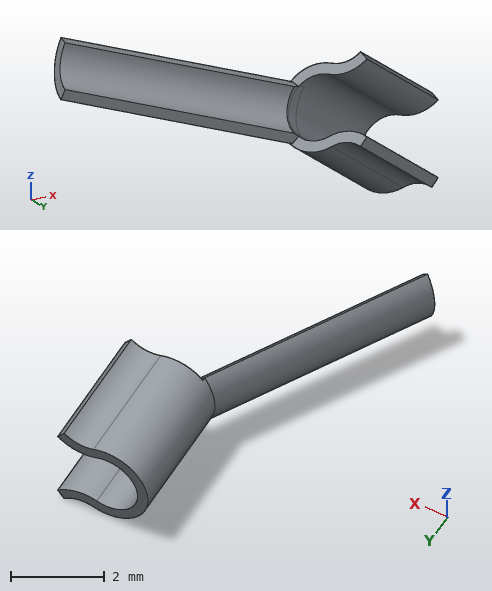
import cadquery as cq
import math

wall = 0.25
ring_outer_radius = 1.0
ring_inner_radius = ring_outer_radius - wall
clip_length = 3.0

lip_near_radius = 0.75
lip_far_radius = lip_near_radius + wall
join_angle = 18.7
lip_end_angle = 39.1
lip_centre_distance = ring_outer_radius + lip_near_radius

handle_half_angle = 45.0
handle_tilt = 30.0
handle_length = 5.5
root_overlap = 0.4
skin_thickness = wall / 2
skin_reach = wall


def polar(radius, angle, centre=(0.0, 0.0)):
    """Point at an angle, in degrees from +X towards +Z, about a centre in the XZ plane."""
    turn = math.radians(angle)
    return (centre[0] + radius * math.cos(turn), centre[1] + radius * math.sin(turn))


def mirrored(point):
    """Same point on the other side of the XY plane."""
    return (point[0], -point[1])


def make_clip():
    """Open ring with two lips, extruded along +Y."""
    lip_centre = polar(lip_centre_distance, 90 - join_angle)
    lip_start = 270 - join_angle
    lip_end = 270 + lip_end_angle
    lip_middle = (lip_start + lip_end) / 2

    outer_join = polar(ring_outer_radius, 90 - join_angle)
    inner_join = polar(ring_inner_radius, 90 - join_angle)
    near_middle = polar(lip_near_radius, lip_middle, lip_centre)
    near_tip = polar(lip_near_radius, lip_end, lip_centre)
    far_middle = polar(lip_far_radius, lip_middle, lip_centre)
    far_tip = polar(lip_far_radius, lip_end, lip_centre)

    profile = (
        cq.Workplane("XZ")
        .moveTo(*near_tip)
        .threePointArc(near_middle, outer_join)
        .threePointArc((-ring_outer_radius, 0), mirrored(outer_join))
        .threePointArc(mirrored(near_middle), mirrored(near_tip))
        .lineTo(*mirrored(far_tip))
        .threePointArc(mirrored(far_middle), mirrored(inner_join))
        .threePointArc((-ring_inner_radius, 0), inner_join)
        .threePointArc(far_middle, far_tip)
        .close()
    )
    return profile.extrude(-clip_length)


def ring_quarter(inner_radius):
    """Quarter-ring outline centred on -X, on a plane facing -Y."""
    outer_top = polar(ring_outer_radius, 180 - handle_half_angle)
    inner_top = polar(inner_radius, 180 - handle_half_angle)
    return (
        cq.Workplane("XZ")
        .moveTo(*outer_top)
        .threePointArc((-ring_outer_radius, 0), mirrored(outer_top))
        .lineTo(*mirrored(inner_top))
        .threePointArc((-inner_radius, 0), inner_top)
        .close()
    )


def tilted(body, angle):
    """Turn a body about the vertical line through the back of the clip end."""
    return body.rotate((-ring_outer_radius, 0, 0), (-ring_outer_radius, 0, 1), -angle)


def make_handle():
    """Tilted strip, carried on into the clip wall and trimmed there to the bore."""
    strip = ring_quarter(ring_inner_radius).extrude(handle_length + root_overlap)
    handle = tilted(strip.translate((0, root_overlap, 0)), handle_tilt)
    bore = cq.Workplane("XZ").circle(ring_inner_radius).extrude(root_overlap, both=True)
    return handle.cut(bore)


def make_bend_skin():
    """Outer skin of the clip carried past its end, cut off on the mitre plane of the bend."""
    skin = ring_quarter(ring_outer_radius - skin_thickness).extrude(skin_reach)
    block_depth = 2 * skin_reach
    beyond_mitre = (
        cq.Workplane("XY")
        .box(2 * ring_outer_radius, block_depth, 2 * ring_outer_radius)
        .translate((-ring_outer_radius, -block_depth / 2, 0))
    )
    return skin.cut(tilted(beyond_mitre, handle_tilt / 2))


result = make_clip().union(make_handle()).union(make_bend_skin())